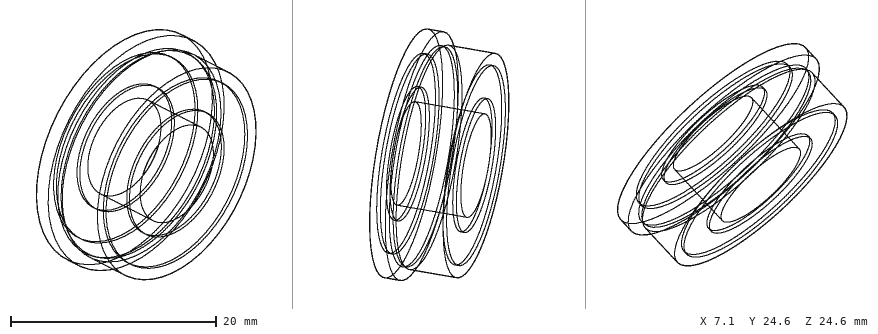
import cadquery as cq

width = 7.1
flange_diameter = 24.6
flange_width = 1.6
body_diameter = 22.2
bore_diameter = 10.25

groove_width = 0.37
groove_depth_at_flange = 0.15
groove_depth_at_chamfer = 0.22
chamfer_length = 0.37
chamfer_start = flange_width + groove_width

shield_outer_diameter = 19.79
shield_inner_diameter = 13.25
shield_recess_depth = 0.37


def ring(outer_diameter, inner_diameter, start, length):
    """Ring around the X axis, running from start towards +X."""
    return (
        cq.Workplane("YZ", origin=(start, 0, 0))
        .circle(outer_diameter / 2)
        .circle(inner_diameter / 2)
        .extrude(length)
    )


def bearing_blank():
    """Revolved flange, relief groove and body, with the bore through it."""
    bore_radius = bore_diameter / 2
    body_radius = body_diameter / 2
    flange_radius = flange_diameter / 2
    return (
        cq.Workplane("XZ")
        .moveTo(0, bore_radius)
        .lineTo(0, flange_radius)
        .lineTo(flange_width, flange_radius)
        .lineTo(flange_width, body_radius - groove_depth_at_flange)
        .lineTo(chamfer_start, body_radius - groove_depth_at_chamfer)
        .lineTo(chamfer_start + chamfer_length, body_radius)
        .lineTo(width, body_radius)
        .lineTo(width, bore_radius)
        .close()
        .revolve(360, (0, 0, 0), (1, 0, 0))
    )


result = bearing_blank()
for recess_start in (0, width - shield_recess_depth):
    result = result.cut(
        ring(shield_outer_diameter, shield_inner_diameter, recess_start, shield_recess_depth)
    )